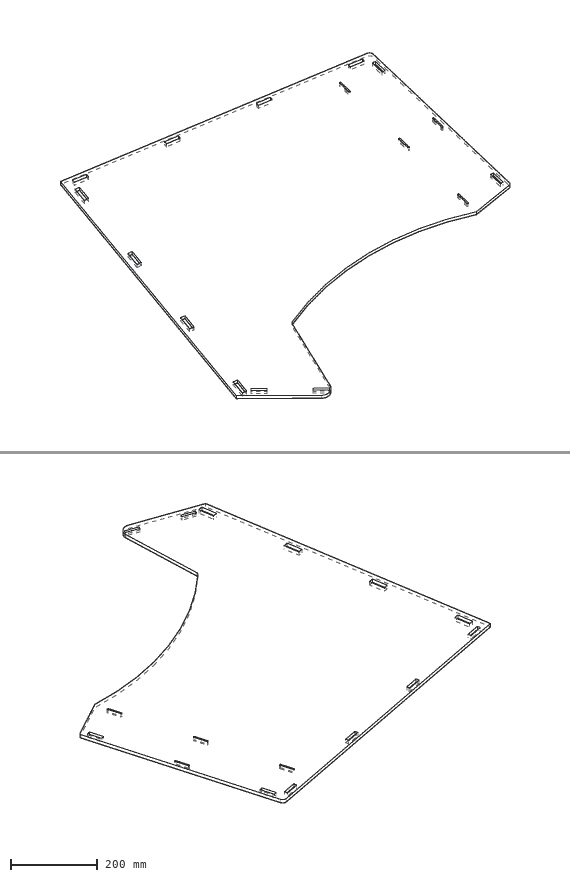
import cadquery as cq
import math

thickness = 10.0
left_height = 829.0
bottom_length = 802.0
edge_tilt = 6.7
toe_angle = 60.0
top_length_x = 532.0

nose_x, nose_y = 569.0, 777.5
arc_left_x, arc_left_y = 549.0, 609.5
instep_x, instep_y = 663.0, 229.0

top_left_radius = 11.0
top_right_radius = 5.0
instep_radius = 9.0
toe_radius = 23.0

slot_length = 37.0
slot_width = 8.0
toe_slot_width = 6.0
bottom_slot_length = 41.5
bottom_slot_width = 12.0
thin_slot_width = 4.0
slot_inset = 14.0
bottom_slot_inset = 23.0
toe_slot_inset = 20.0
left_slot_start, left_slot_pitch, left_slot_count = 45.0, 246.0, 4
bottom_slot_start, bottom_slot_pitch, bottom_slot_count = 60.0, 240.0, 4
top_slot_start, top_slot_pitch, top_slot_count = 50.0, 226.0, 3
inner_row_start, inner_row_inset = 55.0, 116.5
toe_slot_start, toe_slot_pitch = 52.0, 144.0

tilt_slope = math.tan(math.radians(edge_tilt))
toe_slope = math.tan(math.radians(toe_angle))

toe_x = (instep_y + tilt_slope * instep_x + toe_slope * bottom_length) / (toe_slope + tilt_slope)
toe_y = toe_slope * (toe_x - bottom_length)
top_right = (top_length_x, left_height + tilt_slope * top_length_x)


def panel():
    """Flat panel with its rounded corners."""
    body = (
        cq.Workplane("XY")
        .lineTo(bottom_length, 0)
        .lineTo(toe_x, toe_y)
        .lineTo(instep_x, instep_y)
        .threePointArc((arc_left_x, arc_left_y), (nose_x, nose_y))
        .lineTo(*top_right)
        .lineTo(0, left_height)
        .close()
        .extrude(thickness)
    )
    rounded_corners = [
        ((0, left_height), top_left_radius),
        (top_right, top_right_radius),
        ((instep_x, instep_y), instep_radius),
        ((toe_x, toe_y), toe_radius),
    ]
    for (x, y), radius in rounded_corners:
        corner = cq.selectors.NearestToPointSelector((x, y, thickness / 2))
        body = body.edges("|Z").edges(corner).fillet(radius)
    return body


def slot(edge_start, angle, along, inset, length, width):
    """Through-slot parallel to an edge; a positive inset lies left of the edge direction."""
    return (
        cq.Workplane("XY")
        .center(along, inset)
        .rect(length, width)
        .extrude(thickness)
        .rotate((0, 0, 0), (0, 0, 1), angle)
        .translate((*edge_start, 0))
    )


result = panel()

for i in range(left_slot_count):
    along = left_slot_start + i * left_slot_pitch
    result = result.cut(slot((0, 0), 90, along, -slot_inset, slot_length, slot_width))

for i in range(bottom_slot_count):
    along = bottom_slot_start + i * bottom_slot_pitch
    result = result.cut(
        slot((0, 0), 0, along, bottom_slot_inset, bottom_slot_length, bottom_slot_width)
    )

top_left = (0, left_height)
top_slot_widths = [slot_width, thin_slot_width, slot_width]
for i in range(top_slot_count):
    offset = i * top_slot_pitch
    outer = slot(top_left, edge_tilt, top_slot_start + offset, -slot_inset, slot_length, top_slot_widths[i])
    inner = slot(
        top_left, edge_tilt, inner_row_start + offset, -inner_row_inset, slot_length, thin_slot_width
    )
    result = result.cut(outer).cut(inner)

for along in (toe_slot_start, toe_slot_start + toe_slot_pitch):
    result = result.cut(
        slot((bottom_length, 0), toe_angle, along, toe_slot_inset, slot_length, toe_slot_width)
    )